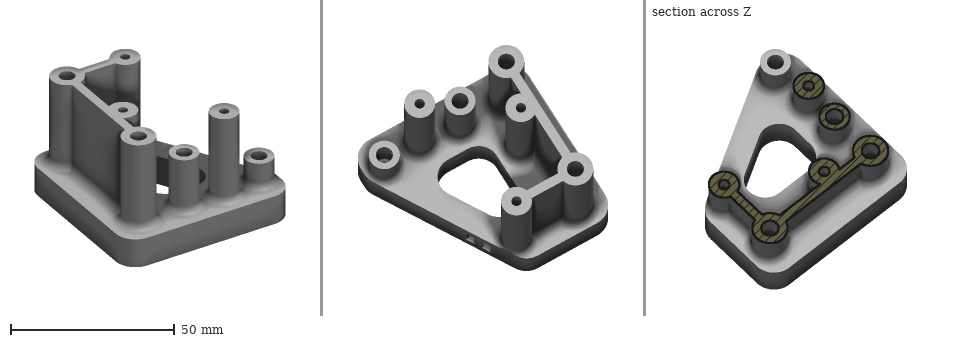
import cadquery as cq
import math

BASE_HEIGHT = 10.0
PART_HEIGHT = 40.4
LEFT_X = -7.95
RIGHT_X = 51.5
FRONT_Y = -10.0
BACK_Y = 50.05
CORNER_RADIUS = 7.0
SLANT_ANGLE = 30.0
SLANT_START_Y = 22.15

WINDOW_FRONT_Y = 12.0
WINDOW_RIGHT_X = 33.5
WINDOW_SLANT_MARGIN = 8.0
WINDOW_RADIUS = 6.5

LARGE_POST_DIAMETER = 11.0
SMALL_POST_DIAMETER = 9.5
LARGE_HOLE_DIAMETER = 5.2
SMALL_HOLE_DIAMETER = 3.15
POST_SPACING_X = 41.5
LARGE_POSTS = [(0, 0), (POST_SPACING_X, 0)]
WALL_END_POST = (0, 21.0)
WALL_SIDE_POST = (26.0, 4.0)
FREE_POST = (43.0, 30.0)
TALL_SMALL_POSTS = [WALL_END_POST, WALL_SIDE_POST, FREE_POST]
SHORT_POSTS = [(POST_SPACING_X, 43.5, 19.2), (POST_SPACING_X, 16.5, 29.2)]

WALL_THICKNESS = 3.0
ROOT_RADIUS = 2.5

CHANNEL_INNER_RADIUS = 1.7
CHANNEL_OUTER_RADIUS = 4.1
CHANNEL_HEIGHT = 4.5
CHANNEL_BOTTOM_Z = (BASE_HEIGHT - CHANNEL_HEIGHT) / 2
CHANNEL_Y = 30.65
CHANNEL_LIP_RADIUS = 0.5

SLOPE = math.tan(math.radians(SLANT_ANGLE))


def slant_y(x):
    return SLANT_START_Y + (x - LEFT_X) * SLOPE


def slant_x(y):
    return LEFT_X + (y - SLANT_START_Y) / SLOPE


def outline_prism(height):
    """Five-sided outline of the plate with rounded corners."""
    corners = [
        (LEFT_X, FRONT_Y),
        (RIGHT_X, FRONT_Y),
        (RIGHT_X, BACK_Y),
        (slant_x(BACK_Y), BACK_Y),
        (LEFT_X, SLANT_START_Y),
    ]
    prism = cq.Workplane("XY").polyline(corners).close().extrude(height)
    return prism.edges("|Z").fillet(CORNER_RADIUS)


def window():
    """Rounded triangle whose long side runs parallel to the slanted side."""
    drop = WINDOW_SLANT_MARGIN / math.cos(math.radians(SLANT_ANGLE))
    corners = [
        (slant_x(WINDOW_FRONT_Y + drop), WINDOW_FRONT_Y),
        (WINDOW_RIGHT_X, WINDOW_FRONT_Y),
        (WINDOW_RIGHT_X, slant_y(WINDOW_RIGHT_X) - drop),
    ]
    prism = cq.Workplane("XY").polyline(corners).close().extrude(BASE_HEIGHT)
    return prism.edges("|Z").fillet(WINDOW_RADIUS)


def flared_profile(half_width, height):
    """Half section of a post or wall, from the plate underside up, with its concave root."""
    root_reach = half_width + ROOT_RADIUS
    root_top = BASE_HEIGHT + ROOT_RADIUS
    arc_step = ROOT_RADIUS * (1 - math.sqrt(0.5))
    return (
        cq.Workplane("XZ")
        .lineTo(root_reach, 0)
        .lineTo(root_reach, BASE_HEIGHT)
        .threePointArc((half_width + arc_step, BASE_HEIGHT + arc_step), (half_width, root_top))
        .lineTo(half_width, height)
        .lineTo(0, height)
        .close()
    )


def post(position, diameter, height):
    body = flared_profile(diameter / 2, height).revolve(360, (0, 0, 0), (0, 1, 0))
    return body.translate((*position, 0))


def wall(length):
    """Wall along +Y from the origin, with a concave root on both sides."""
    half = flared_profile(WALL_THICKNESS / 2, PART_HEIGHT).extrude(-length)
    return half.union(half.mirror("YZ"))


def hole(position, diameter, bottom, top):
    return cq.Workplane("XY", origin=(*position, bottom)).circle(diameter / 2).extrude(top - bottom)


def with_strap_channel(body):
    """Cut the channel and round the upright edges of its two openings."""
    x = slant_x(CHANNEL_Y)
    ring = (
        cq.Workplane("XY", origin=(x, CHANNEL_Y, CHANNEL_BOTTOM_Z))
        .circle(CHANNEL_OUTER_RADIUS)
        .circle(CHANNEL_INNER_RADIUS)
        .extrude(CHANNEL_HEIGHT)
    )
    around_openings = cq.selectors.BoxSelector(
        (x - CHANNEL_OUTER_RADIUS, CHANNEL_Y - CHANNEL_OUTER_RADIUS, 0),
        (x + CHANNEL_OUTER_RADIUS, CHANNEL_Y + CHANNEL_OUTER_RADIUS, BASE_HEIGHT),
    )
    return body.cut(ring).edges("|Z").edges(around_openings).fillet(CHANNEL_LIP_RADIUS)


result = outline_prism(BASE_HEIGHT).cut(window())

upper = wall(WALL_END_POST[1]).union(wall(POST_SPACING_X).rotate((0, 0, 0), (0, 0, 1), -90))
for place in LARGE_POSTS:
    upper = upper.union(post(place, LARGE_POST_DIAMETER, PART_HEIGHT))
for place in TALL_SMALL_POSTS:
    upper = upper.union(post(place, SMALL_POST_DIAMETER, PART_HEIGHT))
for x, y, top in SHORT_POSTS:
    upper = upper.union(post((x, y), SMALL_POST_DIAMETER, top))
result = result.union(upper.intersect(outline_prism(PART_HEIGHT)))

for place in LARGE_POSTS:
    result = result.cut(hole(place, LARGE_HOLE_DIAMETER, 0, PART_HEIGHT))
for place in TALL_SMALL_POSTS:
    result = result.cut(hole(place, SMALL_HOLE_DIAMETER, 0, PART_HEIGHT))
for x, y, top in SHORT_POSTS:
    result = result.cut(hole((x, y), SMALL_HOLE_DIAMETER, 0, top))
    result = result.cut(hole((x, y), LARGE_HOLE_DIAMETER, BASE_HEIGHT, top))

result = with_strap_channel(result)